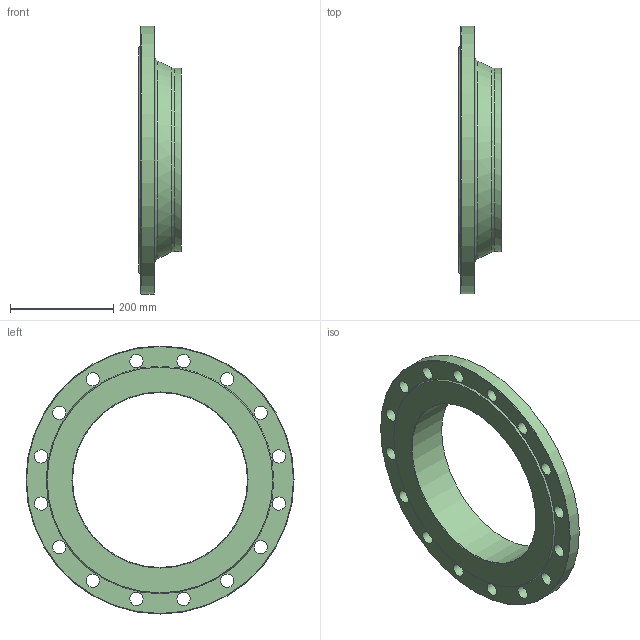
import cadquery as cq


flange_diameter = 520.0
flange_back_x = 30.0
rim_chamfer = 1.0

face_diameter = 438.0
face_height = 4.0
face_taper = 1.78

hub_base_diameter = 390.0
hub_fillet = 12.0
neck_diameter = 355.6
neck_length = 16.0
overall_length = 82.0
neck_start_x = overall_length - neck_length

wall_thickness = 8.0
bore_diameter = neck_diameter - 2 * wall_thickness
bore_chamfer = 1.0

bolt_count = 16
bolt_hole_diameter = 26.0
bolt_circle_diameter = 470.0
bolt_pitch = 360.0 / bolt_count

selection_margin = 0.1


def make_body():
    """Flange, hub and neck with sharp hub corners: an (x, radius) outline turned around X."""
    flange_radius = flange_diameter / 2
    face_radius = face_diameter / 2
    neck_radius = neck_diameter / 2
    bore_radius = bore_diameter / 2
    outline = [
        (bore_chamfer, bore_radius),
        (0, bore_radius + bore_chamfer),
        (0, face_radius),
        (face_height, face_radius + face_taper),
        (face_height, flange_radius - rim_chamfer),
        (face_height + rim_chamfer, flange_radius),
        (flange_back_x, flange_radius),
        (flange_back_x, hub_base_diameter / 2),
        (neck_start_x, neck_radius),
        (overall_length, neck_radius),
        (overall_length, bore_radius),
    ]
    return cq.Workplane("XY").polyline(outline).close().revolve(360, (0, 0, 0), (1, 0, 0))


def fillet_ring(body, x, diameter, fillet_radius):
    """Fillet the circular edge of the given diameter that lies around the X axis at x."""
    reach = diameter / 2 + selection_margin
    ring_box = cq.selectors.BoxSelector(
        (x - selection_margin, -reach, -reach),
        (x + selection_margin, reach, reach),
        boundingbox=True,
    )
    return body.edges(ring_box).fillet(fillet_radius)


def make_bolt_holes():
    """Cylinders through the plate, placed half a pitch off the Y and Z axes."""
    centres = cq.Workplane("YZ").polarArray(bolt_circle_diameter / 2, bolt_pitch / 2, 360, bolt_count)
    return centres.circle(bolt_hole_diameter / 2).extrude(flange_back_x)


body = make_body()
body = fillet_ring(body, flange_back_x, hub_base_diameter, hub_fillet)
body = fillet_ring(body, neck_start_x, neck_diameter, hub_fillet)
result = body.cut(make_bolt_holes())